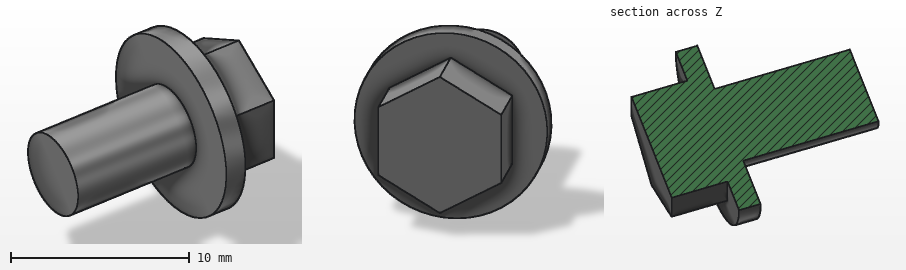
import cadquery as cq
import math

total_length = 12.6
shank_length = 8.0
flange_thickness = 1.3
head_height = total_length - shank_length - flange_thickness

shank_diameter = 5.0
flange_diameter = 11.0
head_across_flats = 7.0
head_sides = 6
head_across_corners = head_across_flats / math.cos(math.pi / head_sides)


def section_plane(y):
    """Plane across the bolt axis at y; local x runs along Z so hexagon corners point up and down."""
    return cq.Plane(origin=(0, y, 0), xDir=(0, 0, 1), normal=(0, 1, 0))


def make_shank():
    """Plain cylinder pointing to -Y, its root on the flange face at Y = 0."""
    return cq.Workplane(section_plane(-shank_length)).circle(shank_diameter / 2).extrude(shank_length)


def make_flange():
    """Round washer face under the head."""
    return cq.Workplane(section_plane(0)).circle(flange_diameter / 2).extrude(flange_thickness)


def make_head():
    """Hexagonal head with flats facing +X and -X."""
    return (
        cq.Workplane(section_plane(flange_thickness))
        .polygon(head_sides, head_across_corners)
        .extrude(head_height)
    )


result = make_shank().union(make_flange()).union(make_head())